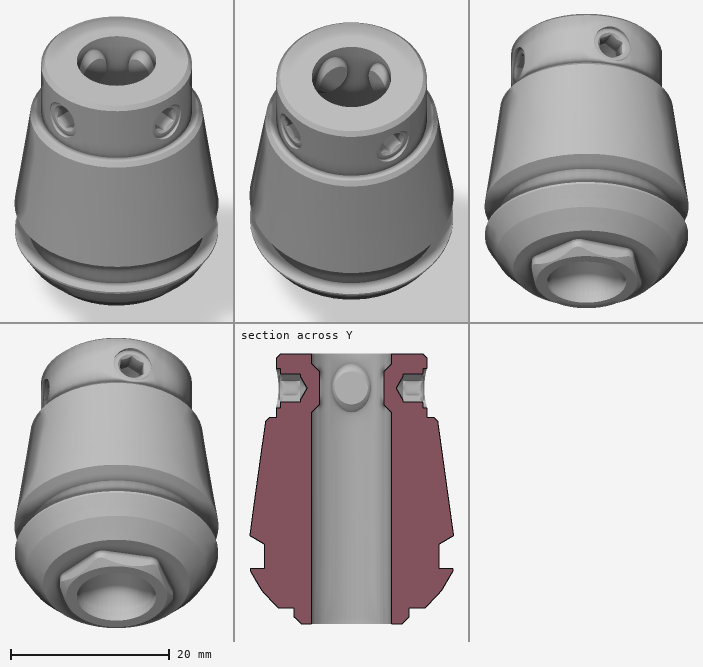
import cadquery as cq
import math

TOTAL_HEIGHT = 34.0
HEX_HEIGHT = 2.0
FLANGE_BEND_Z = 4.2
FLANGE_LAND_Z = 6.73
FLANGE_TOP_Z = 7.0
GROOVE_TOP_Z = 10.03
BODY_WIDEST_Z = 11.12
SHOULDER_Z = 26.0

BORE_DIAMETER = 10.0
COLLAR_DIAMETER = 19.0
SHOULDER_DIAMETER = 21.73
BODY_DIAMETER = 25.7
GROOVE_DIAMETER = 22.0
FLANGE_DIAMETER = 25.6
FLANGE_BEND_DIAMETER = 22.68
FLANGE_BOTTOM_DIAMETER = 18.5
EDGE_CHAMFER = 0.5

HEX_SIDES = 6
HEX_ACROSS_FLATS = 13.0
HEX_CORNER_RADIUS = 1.5
HEX_BOTTOM_DIAMETER = 12.7

SCREW_COUNT = 4
SCREW_Z = 29.68
SCREW_DIAMETER = 4.93
SCREW_LENGTH = 5.0
SCREW_TIP_X = 4.0
SCREW_TIP_DIAMETER = 4.15
SCREW_FLARE = 1.35
SOCKET_ACROSS_FLATS = 3.0
SOCKET_MOUTH_DIAMETER = 3.67
SOCKET_DEPTH = 2.5
SOCKET_CONE_ANGLE = 120.0


def hexagon_corner_diameter(across_flats):
    """Diameter of the circle through the corners of a regular hexagon."""
    return across_flats / math.cos(math.pi / HEX_SIDES)


def make_turned_body():
    """Collar, tapered body, groove and flange as one revolved outline."""
    outline = [
        (0, HEX_HEIGHT),
        (FLANGE_BOTTOM_DIAMETER / 2, HEX_HEIGHT),
        (FLANGE_BEND_DIAMETER / 2, FLANGE_BEND_Z),
        (FLANGE_DIAMETER / 2, FLANGE_LAND_Z),
        (FLANGE_DIAMETER / 2, FLANGE_TOP_Z),
        (GROOVE_DIAMETER / 2, FLANGE_TOP_Z),
        (GROOVE_DIAMETER / 2, GROOVE_TOP_Z),
        (BODY_DIAMETER / 2, BODY_WIDEST_Z),
        (SHOULDER_DIAMETER / 2, SHOULDER_Z - EDGE_CHAMFER),
        (SHOULDER_DIAMETER / 2 - EDGE_CHAMFER, SHOULDER_Z),
        (COLLAR_DIAMETER / 2, SHOULDER_Z),
        (COLLAR_DIAMETER / 2, TOTAL_HEIGHT - EDGE_CHAMFER),
        (COLLAR_DIAMETER / 2 - EDGE_CHAMFER, TOTAL_HEIGHT),
        (0, TOTAL_HEIGHT),
    ]
    return cq.Workplane("XZ").polyline(outline).close().revolve(360, (0, 0), (0, 1))


def make_hex_foot():
    """Hexagon with rounded corners and a 45 degree turned chamfer at the bottom."""
    foot = (
        cq.Workplane("XY")
        .polygon(HEX_SIDES, hexagon_corner_diameter(HEX_ACROSS_FLATS))
        .extrude(HEX_HEIGHT)
        .edges("|Z")
        .fillet(HEX_CORNER_RADIUS)
    )
    bottom_radius = HEX_BOTTOM_DIAMETER / 2
    chamfer_cone = cq.Workplane(
        cq.Solid.makeCone(bottom_radius, bottom_radius + HEX_HEIGHT, HEX_HEIGHT)
    )
    return foot.intersect(chamfer_cone)


def make_screw_hole():
    """Radial hole along +X, from the bore axis out through the collar."""
    return (
        cq.Workplane("YZ")
        .center(0, SCREW_Z)
        .circle(SCREW_DIAMETER / 2)
        .extrude(COLLAR_DIAMETER / 2)
    )


def make_set_screw():
    """Set screw along +X with a flared tip in the bore and a drilled hexagon socket outside."""
    head_x = SCREW_TIP_X + SCREW_LENGTH
    outward = cq.Vector(1, 0, 0)
    inward = cq.Vector(-1, 0, 0)
    tip_radius = SCREW_TIP_DIAMETER / 2
    tip = cq.Solid.makeCone(
        tip_radius,
        tip_radius + SCREW_FLARE,
        SCREW_FLARE,
        cq.Vector(SCREW_TIP_X, 0, SCREW_Z),
        outward,
    )
    screw = (
        cq.Workplane("YZ", origin=(SCREW_TIP_X + SCREW_FLARE, 0, SCREW_Z))
        .circle(SCREW_DIAMETER / 2)
        .extrude(SCREW_LENGTH - SCREW_FLARE)
        .union(cq.Workplane(tip))
    )

    socket = (
        cq.Workplane("YZ", origin=(head_x, 0, SCREW_Z))
        .transformed(rotate=(0, 0, 90))
        .polygon(HEX_SIDES, hexagon_corner_diameter(SOCKET_ACROSS_FLATS))
        .extrude(-SOCKET_DEPTH)
    )

    mouth_radius = SOCKET_MOUTH_DIAMETER / 2
    mouth_center = cq.Vector(head_x, 0, SCREW_Z)
    mouth = cq.Solid.makeCone(mouth_radius, 0, mouth_radius, mouth_center, inward)

    drill_radius = SOCKET_ACROSS_FLATS / 2
    drill_point = cq.Solid.makeCone(
        drill_radius,
        0,
        drill_radius / math.tan(math.radians(SOCKET_CONE_ANGLE / 2)),
        cq.Vector(head_x - SOCKET_DEPTH, 0, SCREW_Z),
        inward,
    )
    return screw.cut(socket).cut(cq.Workplane(mouth)).cut(cq.Workplane(drill_point))


bore = cq.Workplane("XY").circle(BORE_DIAMETER / 2).extrude(TOTAL_HEIGHT)
result = make_turned_body().union(make_hex_foot()).cut(bore)

screw_hole = make_screw_hole()
set_screw = make_set_screw()
for index in range(SCREW_COUNT):
    angle = index * 360 / SCREW_COUNT
    result = result.cut(screw_hole.rotate((0, 0, 0), (0, 0, 1), angle))
    result = result.union(set_screw.rotate((0, 0, 0), (0, 0, 1), angle))